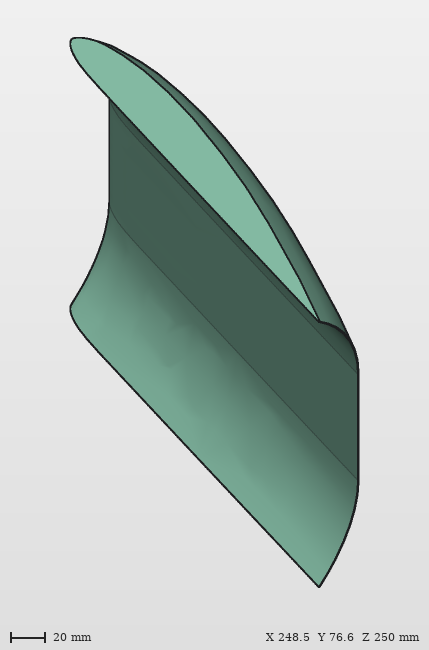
import cadquery as cq

span = 250.0
chord = 248.5
straight_span = 100.0
tip_offset = 30.0
trailing_thickness = 0.8

leading_edge = (0, 30.5)
upper_points = [
    (225.2, 9.8), (185.5, 23.0), (145.8, 34.2), (119.2, 39.8), (92.8, 44.0), (58.8, 46.5),
    (39.2, 46.0), (26.0, 44.2), (12.8, 41.0), (6.0, 37.8), (1.5, 33.8),
]
lower_points = [
    (1.5, 28.0), (6.0, 25), (12.8, 22.5), (26.0, 20), (40, 18.5),
    (92.8, 13.8), (145.8, 9.0), (200, 4.2),
]

half_straight = straight_span / 2
half_span = span / 2


def airfoil(z):
    """Horizontal airfoil outline with its lower trailing corner at X = chord, Y = 0."""
    return (
        cq.Workplane("XY", origin=(0, 0, z))
        .moveTo(chord, trailing_thickness)
        .spline(upper_points + [leading_edge] + lower_points + [(chord, 0)], includeCurrent=True)
        .close()
    )


def curved_tip(side):
    """Airfoil carried along the tip arc without turning; side is 1 for top, -1 for bottom."""
    start = cq.Vector(0, 0, side * half_straight)
    tangent = cq.Vector(0, 0, side)
    end = cq.Vector(0, -tip_offset, side * half_span)
    path = cq.Workplane(cq.Edge.makeTangentArc(start, tangent, end))
    return airfoil(side * half_straight).sweep(path, normal=cq.Vector(0, 0, 1))


middle = airfoil(-half_straight).extrude(straight_span)
result = middle.union(curved_tip(1)).union(curved_tip(-1))